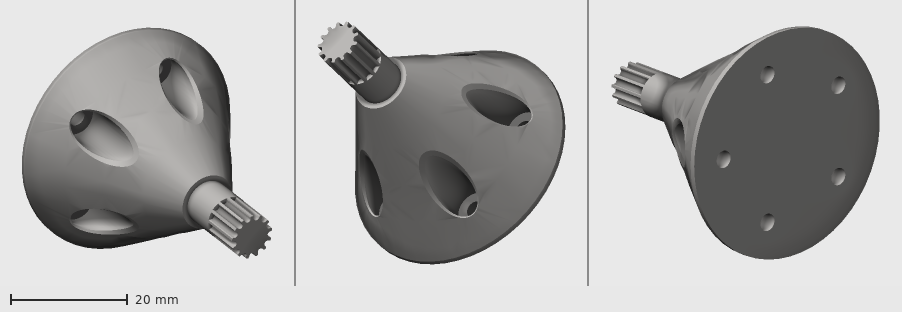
import cadquery as cq
import math

flange_diameter = 41.0
flange_thickness = 1.0
cone_end_x = 28.0
cone_end_diameter = 10.0
shaft_diameter = 8.0
total_length = 43.0

hole_count = 5
hole_circle_radius = 14.0
screw_hole_diameter = 3.1
counterbore_diameter = 6.5
counterbore_floor_x = 3.0
counterbore_chamfer = 0.6

spline_length = 8.0
spline_tooth_count = 13
spline_root_radius = 3.1
groove_mouth_half_width = 0.73
groove_shoulder_half_width = 0.60
groove_shoulder_radius = 3.75
groove_floor_half_width = 0.50
groove_floor_edge_radius = 3.4


def polar_point(radius, angle):
    """Point in the YZ plane at an angle in degrees from +Y toward +Z."""
    radians = math.radians(angle)
    return (radius * math.cos(radians), radius * math.sin(radians))


def axial_cylinders(points, diameter, start_x, end_x):
    """Cylinders parallel to X, centred on the given YZ points."""
    plane = cq.Workplane("YZ", origin=(start_x, 0, 0))
    return plane.pushPoints(points).circle(diameter / 2).extrude(end_x - start_x)


def make_cone():
    """Flange disc and the cone that narrows toward the shaft."""
    profile = [
        (0, 0),
        (0, flange_diameter / 2),
        (flange_thickness, flange_diameter / 2),
        (cone_end_x, cone_end_diameter / 2),
        (cone_end_x, 0),
    ]
    return cq.Workplane("XY").polyline(profile).close().revolve(360, (0, 0, 0), (1, 0, 0))


def cut_screw_holes(body):
    """Through holes from the flange face, each with a chamfered counterbore in the cone."""
    pitch = 360 / hole_count
    centers = [polar_point(hole_circle_radius, i * pitch) for i in range(hole_count)]
    body = body.cut(axial_cylinders(centers, counterbore_diameter, counterbore_floor_x, cone_end_x))

    mouth_box = cq.selectors.BoxSelector(
        (counterbore_floor_x + counterbore_chamfer, -flange_diameter, -flange_diameter),
        (cone_end_x - counterbore_chamfer, flange_diameter, flange_diameter),
    )
    mouths = body.edges("not(%LINE or %CIRCLE)").edges(mouth_box)
    body = mouths.chamfer(counterbore_chamfer)
    return body.cut(axial_cylinders(centers, screw_hole_diameter, 0, counterbore_floor_x))


def make_spline_groove():
    """One groove along +Y: flared mouth, tapered flanks and an arc floor."""
    mouth_radius = math.sqrt((shaft_diameter / 2) ** 2 - groove_mouth_half_width**2)
    groove_start_x = total_length - spline_length
    return (
        cq.Workplane("YZ", origin=(groove_start_x, 0, 0))
        .moveTo(mouth_radius, groove_mouth_half_width)
        .lineTo(groove_shoulder_radius, groove_shoulder_half_width)
        .lineTo(groove_floor_edge_radius, groove_floor_half_width)
        .threePointArc((spline_root_radius, 0), (groove_floor_edge_radius, -groove_floor_half_width))
        .lineTo(groove_shoulder_radius, -groove_shoulder_half_width)
        .lineTo(mouth_radius, -groove_mouth_half_width)
        .threePointArc((shaft_diameter / 2, 0), (mouth_radius, groove_mouth_half_width))
        .close()
        .extrude(spline_length)
    )


def make_splined_shaft():
    """Shaft whose free end carries evenly spaced grooves, with one tooth pointing to +Z."""
    shaft = axial_cylinders([(0, 0)], shaft_diameter, cone_end_x, total_length)
    pitch = 360 / spline_tooth_count
    first_groove_angle = 90 + pitch / 2
    groove = make_spline_groove()
    for i in range(spline_tooth_count):
        shaft = shaft.cut(groove.rotate((0, 0, 0), (1, 0, 0), first_groove_angle + i * pitch))
    return shaft


result = cut_screw_holes(make_cone()).union(make_splined_shaft())